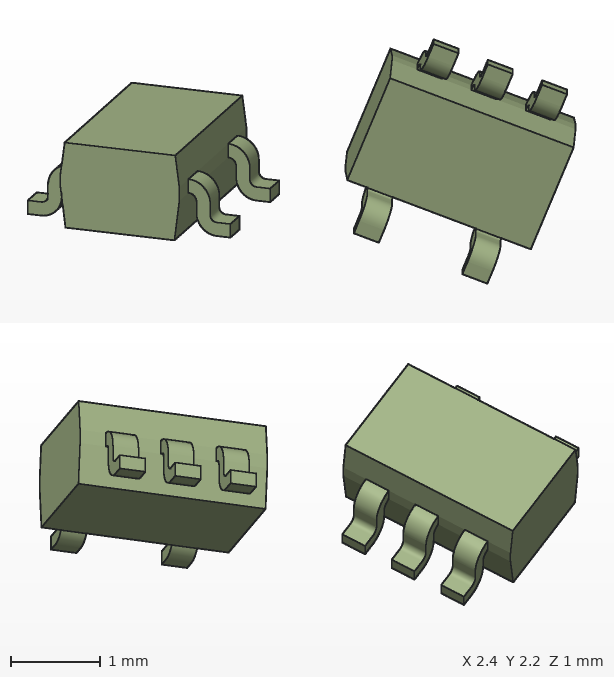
import cadquery as cq
import math

housing_length = 2.2
housing_height = 1.0
belt_width = 1.406
top_width = 1.31
bottom_width = 1.29

lead_span = 2.4
lead_width = 0.3
lead_thickness = 0.16
lead_pitch = 0.65
lead_top = 0.63
heel_inner_radius = 0.08
heel_outer_radius = heel_inner_radius + lead_thickness
shank_outer_x = 0.96

shoulder_outer_radius = shank_outer_x - belt_width / 2
shoulder_inner_radius = shoulder_outer_radius - lead_thickness

left_steps = (-1, 0, 1)
right_steps = (-1, 1)

belt_top = lead_top
belt_bottom = lead_top - lead_thickness


def make_housing():
    right_edge = [
        (bottom_width / 2, 0),
        (belt_width / 2, belt_bottom),
        (belt_width / 2, belt_top),
        (top_width / 2, housing_height),
    ]
    left_edge = [(-x, z) for x, z in reversed(right_edge)]
    return (
        cq.Workplane("XZ")
        .polyline(right_edge + left_edge)
        .close()
        .extrude(housing_length / 2, both=True)
    )


def make_lead(side, y):
    """Gull-wing lead centred at y; side is +1 toward +X and -1 toward -X."""
    toe_x = lead_span / 2
    shank_inner_x = shank_outer_x - lead_thickness
    shoulder_x = belt_width / 2
    shoulder_z = lead_top - shoulder_outer_radius
    heel_x = shank_outer_x + heel_inner_radius
    heel_z = heel_outer_radius
    diagonal = math.sqrt(0.5)

    def point(x, z):
        return (side * x, z)

    def shoulder_mid(radius):
        return point(shoulder_x + radius * diagonal, shoulder_z + radius * diagonal)

    def heel_mid(radius):
        return point(heel_x - radius * diagonal, heel_z - radius * diagonal)

    return (
        cq.Workplane("XZ")
        .moveTo(*point(shoulder_x, lead_top))
        .threePointArc(shoulder_mid(shoulder_outer_radius), point(shank_outer_x, shoulder_z))
        .lineTo(*point(shank_outer_x, heel_z))
        .threePointArc(heel_mid(heel_inner_radius), point(heel_x, lead_thickness))
        .lineTo(*point(toe_x, lead_thickness))
        .lineTo(*point(toe_x, 0))
        .lineTo(*point(heel_x, 0))
        .threePointArc(heel_mid(heel_outer_radius), point(shank_inner_x, heel_z))
        .lineTo(*point(shank_inner_x, shoulder_z))
        .threePointArc(shoulder_mid(shoulder_inner_radius), point(shoulder_x, belt_bottom))
        .close()
        .extrude(lead_width / 2, both=True)
        .translate((0, y, 0))
    )


housing = make_housing()

leads = []
for side, steps in ((-1, left_steps), (1, right_steps)):
    for step in steps:
        leads.append(make_lead(side, step * lead_pitch).val())

result = cq.Compound.makeCompound([housing.val(), *leads])